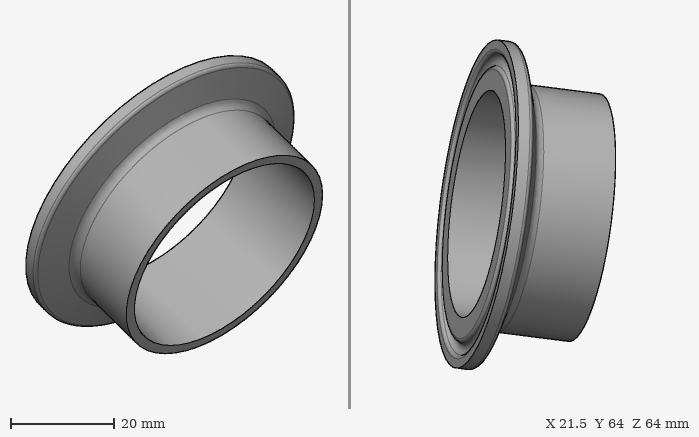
import cadquery as cq
import math

length = 21.5
flange_diameter = 64.0
tube_diameter = 48.3
bore_diameter = 44.3

rim_thickness = 2.9
taper_angle = 20.0
rim_round = 0.8
root_fillet = 2.0

groove_mean_diameter = 56.45
groove_width = 4.0
groove_depth = 1.5
lip_radius = 0.8

flange_radius = flange_diameter / 2
tube_radius = tube_diameter / 2
bore_radius = bore_diameter / 2
root_x = rim_thickness + (flange_radius - tube_radius) * math.tan(math.radians(taper_angle))


def revolve_about_x(profile):
    return profile.revolve(360, (0, 0, 0), (1, 0, 0))


def circle_edges_at(x, radius):
    """Select the circular edge of the given radius lying at the given X."""
    tolerance = 0.05
    return cq.selectors.BoxSelector(
        (x - tolerance, -radius - tolerance, -radius - tolerance),
        (x + tolerance, radius + tolerance, radius + tolerance),
        boundingbox=True,
    )


def make_body():
    profile = (
        cq.Workplane("XY")
        .moveTo(0, bore_radius)
        .lineTo(0, flange_radius)
        .lineTo(rim_thickness, flange_radius)
        .lineTo(root_x, tube_radius)
        .lineTo(length, tube_radius)
        .lineTo(length, bore_radius)
        .close()
    )
    body = revolve_about_x(profile)
    body = body.edges(circle_edges_at(rim_thickness, flange_radius)).fillet(rim_round)
    return body.edges(circle_edges_at(root_x, tube_radius)).fillet(root_fillet)


def make_groove():
    mean_radius = groove_mean_diameter / 2
    half_width = groove_width / 2
    turn = 2 * math.atan(groove_depth / half_width)

    def lip_point(angle, side):
        offset = half_width - lip_radius * math.sin(angle)
        return lip_radius * (1 - math.cos(angle)), mean_radius + side * offset

    profile = (
        cq.Workplane("XY")
        .moveTo(*lip_point(0, -1))
        .threePointArc(lip_point(turn / 2, -1), lip_point(turn, -1))
        .threePointArc((groove_depth, mean_radius), lip_point(turn, 1))
        .threePointArc(lip_point(turn / 2, 1), lip_point(0, 1))
        .close()
    )
    return revolve_about_x(profile)


result = make_body().cut(make_groove())